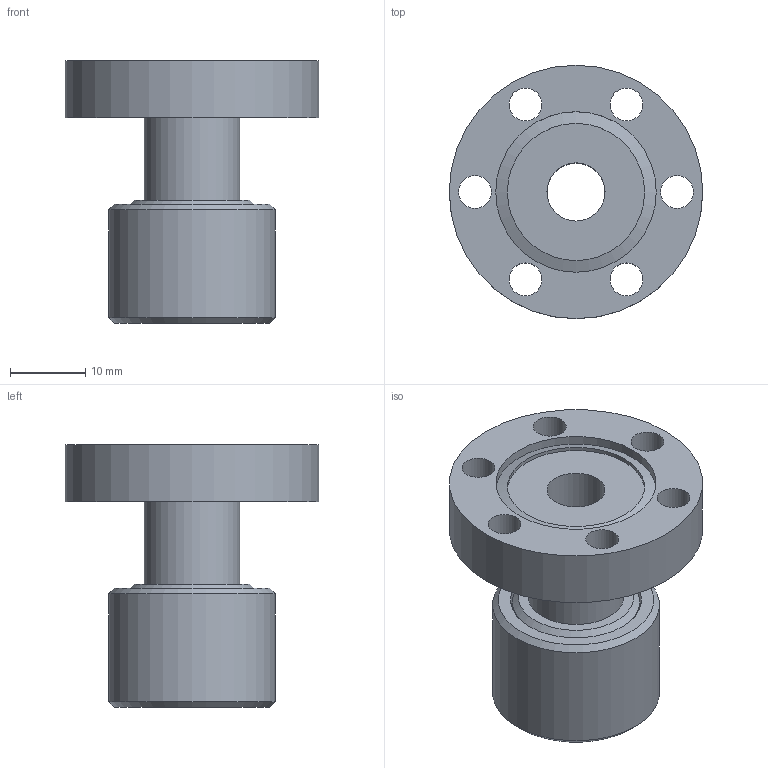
import cadquery as cq
import math

flange_diameter = 33.78
flange_thickness = 7.62
bolt_count = 6
bolt_hole_diameter = 4.39
bolt_circle_diameter = 26.92

recess_diameter = 21.39
knife_edge_diameter = 18.29
knife_edge_depth = 0.66
knife_cone_angle = 20.0
recess_floor_depth = 1.17

neck_diameter = 12.7
bore_diameter = 7.75

overall_length = 35.0
nut_diameter = 22.23
nut_length = 15.88
nut_chamfer = 0.76
collar_top_diameter = 15.37
collar_diameter = 17.0
collar_rise = 0.5
nut_opening_diameter = 17.46
nut_opening_depth = 1.5

nut_top_z = nut_length - overall_length
collar_top_z = nut_top_z + collar_rise


def disc(diameter, top_z, height):
    """Solid cylinder on the Z axis, hanging down from top_z."""
    return cq.Workplane("XY").workplane(offset=top_z).circle(diameter / 2).extrude(-height)


def make_seal_recess():
    """Revolved cutter: stepped recess whose rim groove rises inwards to a knife edge."""
    recess_radius = recess_diameter / 2
    knife_radius = knife_edge_diameter / 2
    cone_drop = (recess_radius - knife_radius) * math.tan(math.radians(knife_cone_angle))
    profile = [
        (0, 0),
        (recess_radius, 0),
        (recess_radius, -knife_edge_depth - cone_drop),
        (knife_radius, -knife_edge_depth),
        (knife_radius, -recess_floor_depth),
        (0, -recess_floor_depth),
    ]
    return cq.Workplane("XZ").polyline(profile).close().revolve(360, (0, 0), (0, 1))


def make_flange():
    """Flange disc with its ring of bolt holes and the seal recess."""
    flange = disc(flange_diameter, 0, flange_thickness)
    bolt_holes = (
        cq.Workplane("XY")
        .polarArray(bolt_circle_diameter / 2, 0, 360, bolt_count)
        .circle(bolt_hole_diameter / 2)
        .extrude(-flange_thickness)
    )
    return flange.cut(bolt_holes).cut(make_seal_recess())


def make_nut():
    """Nut chamfered at both ends, with a shallow round opening in its top."""
    nut = disc(nut_diameter, nut_top_z, nut_length).edges().chamfer(nut_chamfer)
    return nut.cut(disc(nut_opening_diameter, nut_top_z, nut_opening_depth))


def make_collar():
    """Collar on the floor of the nut opening, with a 45-degree chamfer on its top edge."""
    collar_height = collar_rise + nut_opening_depth
    collar_chamfer = (collar_diameter - collar_top_diameter) / 2
    return disc(collar_diameter, collar_top_z, collar_height).faces(">Z").edges().chamfer(collar_chamfer)


def make_neck():
    """Neck tube joining the flange underside to the collar."""
    return disc(neck_diameter, -flange_thickness, -flange_thickness - collar_top_z)


bore = disc(bore_diameter, 0, overall_length)
result = make_flange().union(make_neck()).union(make_collar()).union(make_nut()).cut(bore)